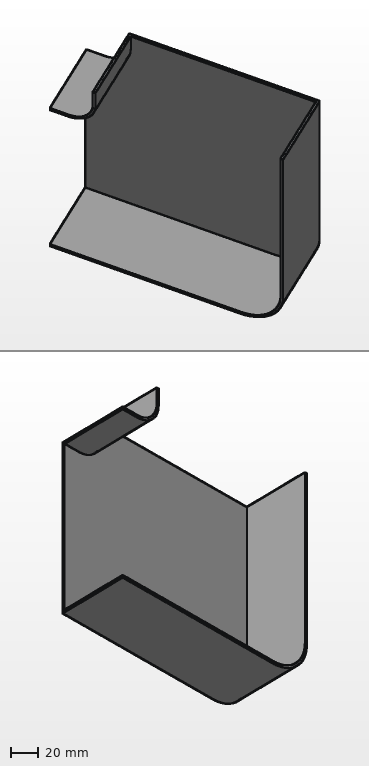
import cadquery as cq

side = 190.1
depth = 63.4
wall = 2.2
notch = 35.0
notch_radius = 20.0
corner_radius = 35.0


def elbow_prism(inset, length):
    """Elbow outline in XZ with its walled sides moved inward by inset, extruded from y = 0 toward +Y.

    The two duct ends (x = 0 and z = side) have no wall, so they stay in place.
    """
    bottom = inset
    right = side - inset
    notch_x = notch + inset
    notch_z = side - notch - inset
    inner_bend = notch_radius + inset
    outer_bend = corner_radius - inset
    outline = (
        cq.Workplane("XZ")
        .moveTo(0, bottom)
        .lineTo(right - outer_bend, bottom)
        .radiusArc((right, bottom + outer_bend), -outer_bend)
        .lineTo(right, side)
        .lineTo(notch_x, side)
        .lineTo(notch_x, notch_z + inner_bend)
        .radiusArc((notch_x - inner_bend, notch_z), inner_bend)
        .lineTo(0, notch_z)
        .close()
    )
    return outline.extrude(-length)


body = elbow_prism(0, depth)
cavity = elbow_prism(wall, depth - wall)
result = body.cut(cavity)